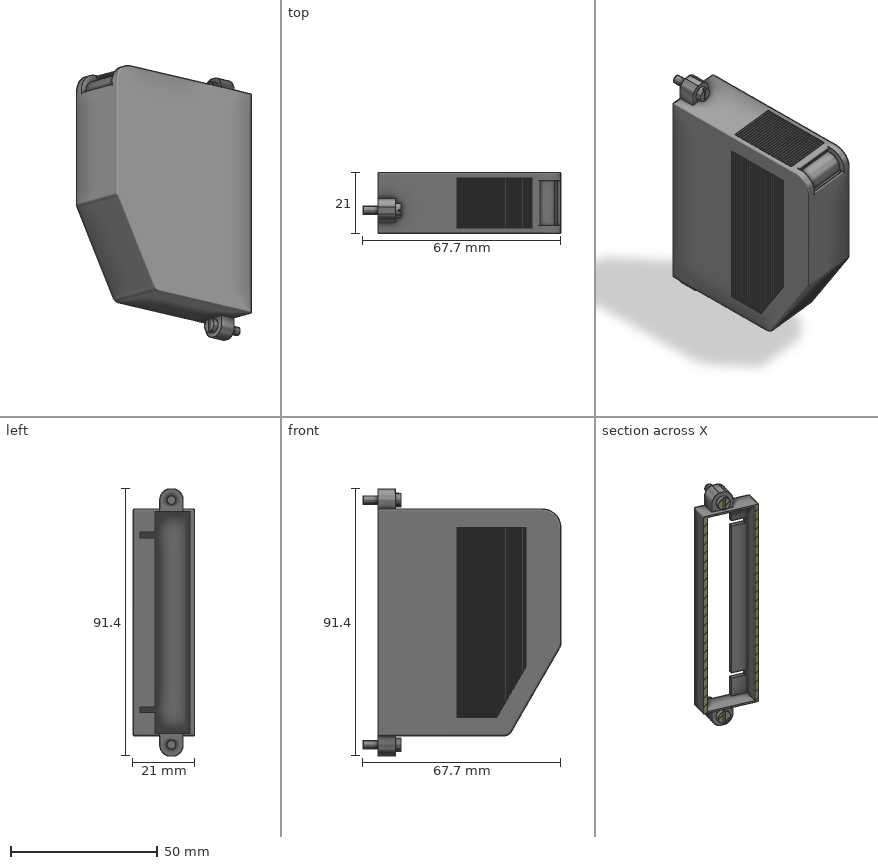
import cadquery as cq
import math

body_length = 62.6
body_width = 21.0
body_height = 77.7
edge_radius = 0.55
big_corner_radius = 6.4
slant_angle = 30.0
slant_bottom_x = 44.8
small_corner_radius = 3.0

end_wall = 0.8
side_wall = 1.55
cavity_depth = 15.5
opening_edge_y = 3.0
cover_thickness = 1.5
key_slot_height = 2.0
key_slot_end_y = 8.2
key_slot_z = 29.9

lug_y = -2.6
lug_radius = 4.0
lug_length = 5.9
lug_tip_z = 45.7
screw_z = 41.9
shank_radius = 1.5
shank_length = 5.1
head_radius = 2.4
head_height = 2.0
drive_slot_width = 0.7
drive_slot_depth = 0.9

groove_width = 0.7
groove_depth = 0.6
groove_start_x = 27.1
side_groove_count = 24
side_groove_top_z = 32.45
side_groove_slant_margin = 6.8
top_groove_count = 26
top_groove_row_length = 26.0
top_groove_length = 17.0

recess_width = 15.45
recess_margin = 1.3
recess_lip_radius = 0.59
recess_core_radius = 4.2

half_height = body_height / 2
half_width = body_width / 2
groove_pitch = top_groove_row_length / top_groove_count
slant_run = math.tan(math.radians(slant_angle))
slant_top_z = -half_height + (body_length - slant_bottom_x) / slant_run


def box(x0, x1, y0, y1, z0, z1):
    """Box given by its limits along each axis."""
    return cq.Workplane("XY").box(x1 - x0, y1 - y0, z1 - z0, centered=False).translate((x0, y0, z0))


def x_cylinder(x0, x1, radius, y, z):
    """Cylinder along X between x0 and x1."""
    return cq.Workplane("YZ", origin=(x0, y, z)).circle(radius).extrude(x1 - x0)


def make_housing():
    """Solid plate with one large rounded corner and one slanted corner, rounded along its side edges."""
    outline = [
        (0, -half_height),
        (slant_bottom_x, -half_height),
        (body_length, slant_top_z),
        (body_length, half_height),
        (0, half_height),
    ]
    plate = cq.Workplane("XZ", origin=(0, half_width, 0)).polyline(outline).close().extrude(body_width)
    plate = plate.edges("|Y").edges(">X and >Z").fillet(big_corner_radius)
    for x, z in ((slant_bottom_x, -half_height), (body_length, slant_top_z)):
        plate = plate.edges(cq.selectors.NearestToPointSelector((x, 0, z))).fillet(small_corner_radius)
    return plate.faces("<Y or >Y or <X").edges().fillet(edge_radius)


def make_cavity():
    """Hollow with a cover plate left across part of its mouth, key slots cut through the cover."""
    inner_z = half_height - end_wall
    front_y = side_wall - half_width
    back_y = half_width - side_wall
    cavity = box(cover_thickness, cavity_depth, front_y, back_y, -inner_z, inner_z)
    mouth = box(0, cavity_depth, front_y, opening_edge_y, -inner_z, inner_z)
    cavity = cavity.union(mouth)
    for z in (key_slot_z, -key_slot_z):
        slot = box(0, cover_thickness, opening_edge_y, key_slot_end_y,
                   z - key_slot_height / 2, z + key_slot_height / 2)
        cavity = cavity.union(slot)
    return cavity


def make_lug():
    """Upper lug with its screw: a rounded tab with a flattened tip, a shank and a slotted head."""
    root_z = half_height - end_wall
    tab = x_cylinder(0, lug_length, lug_radius, lug_y, screw_z)
    tab = tab.union(box(0, lug_length, lug_y - lug_radius, lug_y + lug_radius, root_z, screw_z))
    tab = tab.intersect(box(0, lug_length, lug_y - lug_radius, lug_y + lug_radius, root_z, lug_tip_z))
    head_end = lug_length + head_height
    shank = x_cylinder(-shank_length, lug_length, shank_radius, lug_y, screw_z)
    head = x_cylinder(lug_length, head_end, head_radius, lug_y, screw_z)
    drive_slot = box(head_end - drive_slot_depth, head_end,
                     lug_y - drive_slot_width / 2, lug_y + drive_slot_width / 2,
                     screw_z - head_radius, screw_z + head_radius)
    return tab.union(shank).union(head.cut(drive_slot))


def draw_groove_row(plane, count, surface, inward):
    """Row of V-groove outlines along X on the given workplane, cut inward from the surface coordinate."""
    for i in range(count):
        x = groove_start_x + i * groove_pitch
        tip = (x + groove_width / 2, surface + inward * groove_depth)
        plane = plane.polyline([(x, surface), tip, (x + groove_width, surface)]).close()
    return plane


def make_side_grooves():
    """Vertical grooves in the -Y face, ending on a line parallel to the slanted corner."""
    plane = cq.Workplane("XY", origin=(0, 0, -side_groove_top_z))
    grooves = draw_groove_row(plane, side_groove_count, -half_width, 1).extrude(2 * side_groove_top_z)
    end_x = groove_start_x + side_groove_count * groove_pitch
    cut_x = slant_bottom_x - side_groove_slant_margin / math.cos(math.radians(slant_angle))
    cut_top = (end_x - cut_x) / slant_run - half_height
    corner = (
        cq.Workplane("XZ", origin=(0, half_width, 0))
        .polyline([(cut_x, -half_height), (end_x, -half_height), (end_x, cut_top)])
        .close()
        .extrude(body_width)
    )
    return grooves.cut(corner)


def make_top_grooves():
    """Grooves across the +Z face."""
    plane = cq.Workplane("XZ", origin=(0, top_groove_length / 2, 0))
    return draw_groove_row(plane, top_groove_count, half_height, -1).extrude(top_groove_length)


def make_corner_recess():
    """Recess over the large rounded corner with a smaller rounded core and two half-round lips."""
    center_x = body_length - big_corner_radius
    center_z = half_height - big_corner_radius
    wall_x = center_x - recess_margin
    floor_z = center_z - recess_margin
    core_x = center_x + recess_core_radius
    core_z = center_z + recess_core_radius
    core_diagonal = recess_core_radius * math.sqrt(0.5)
    lip = recess_lip_radius
    return (
        cq.Workplane("XZ", origin=(0, recess_width / 2, 0))
        .moveTo(wall_x, half_height)
        .threePointArc((wall_x + lip, half_height - lip), (wall_x, half_height - 2 * lip))
        .lineTo(wall_x, core_z)
        .lineTo(center_x, core_z)
        .threePointArc((center_x + core_diagonal, center_z + core_diagonal), (core_x, center_z))
        .lineTo(core_x, floor_z)
        .lineTo(body_length - 2 * lip, floor_z)
        .threePointArc((body_length - lip, floor_z + lip), (body_length, floor_z))
        .lineTo(body_length, half_height)
        .close()
        .extrude(recess_width)
    )


upper_lug = make_lug()
result = (
    make_housing()
    .cut(make_cavity())
    .union(upper_lug)
    .union(upper_lug.mirror("XY"))
    .cut(make_side_grooves())
    .cut(make_top_grooves())
    .cut(make_corner_recess())
)